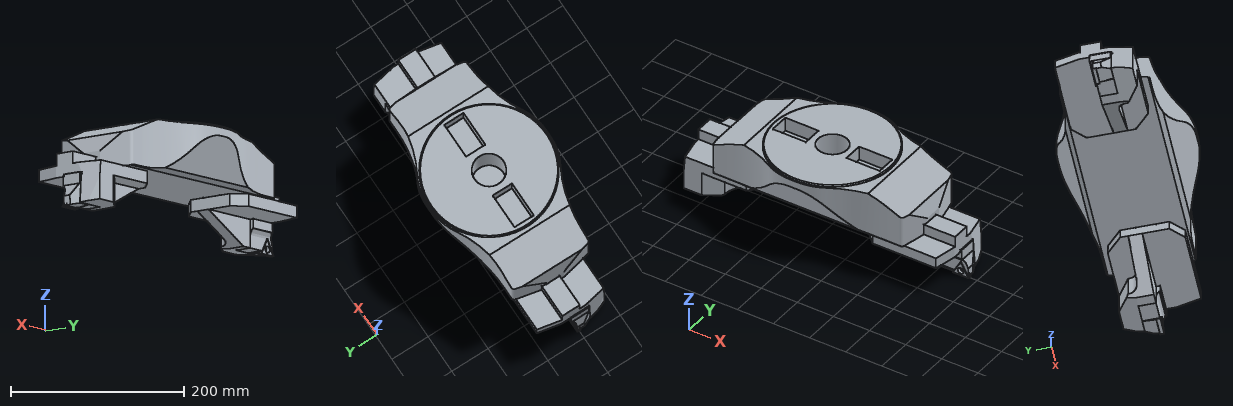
import cadquery as cq
import math

BOSS_TOP = 114.0
BOSS_HEIGHT = 2.0
BOSS_DIAMETER = 162.0
BOSS_CHAMFER = 1.5
HOUSING_TOP = BOSS_TOP - BOSS_HEIGHT
HOUSING_BOTTOM = 51.5

BELLY_HALF_WIDTH = 82.0
BELLY_FLAT_HALF_LENGTH = 5.0
WAIST_X = 40.5
END_HALF_WIDTH = 53.2
END_FLAT_X = 111.5
CORNER_RADIUS = 3.8

NOSE_X = 139.5
NOSE_HALF_WIDTH = 12.5
NOSE_FACET_ANGLE = 12.0
FACET_CORNER_X = NOSE_X - (END_HALF_WIDTH - NOSE_HALF_WIDTH) * math.tan(math.radians(NOSE_FACET_ANGLE))
NOSE_TOP = 72.2
SLOPE_START_X = 86.0
SLOPE_END_X = 133.5
SLOPE_END_Z = 92.0

FLANK_TOP = 102.0
FLANK_ANGLE = 28.0
FLANK_BOTTOM = 56.2
FOOT_HALF_WIDTH = 51.5

BORE_DIAMETER = 40.0
BORE_DEPTH = 45.5
SLOT_INNER_X = 28.0
SLOT_OUTER_X = 74.0
SLOT_WIDTH = 26.5
SLOT_DEPTH = 18.5

PLATE_BOTTOM = 37.2
PLATE_INNER_X = 72.2
SLIDE_END_X = 181.5
PLATE_FRONT_Y = -49.0
SLIDE_BACK_Y = 43.5
FRONT_CORNER_CHAMFER = 15.5
BACK_CORNER_CHAMFER = 18.5
END_FLAT_FRONT_Y = -19.0
END_FLAT_BACK_Y = 14.0
END_SLOPE = 0.2
END_LEAN = 0.09
BACK_CORNER_X = 177.5
BACK_CORNER_SLOPE = 0.4

KEY_TOP = 65.7
KEY_FRONT_Y = -18.0
KEY_BACK_Y = 6.5

WEB_FRONT_Y = -1.5
WEB_BACK_Y = 15.2
WEB_STEP_X = 130.7
WEB_FILLET_RADIUS = 11.0
CHEEK_INNER_X = 152.7
WEB_STEP_Y = 27.7
SLIDE_BOTTOM = 3.5
WEB_TOE_X = 136.0

CARTRIDGE_INNER_X = 148.0
CARTRIDGE_BACK_Y = 19.5
CARTRIDGE_TOP = 40.0
HEAD_FRONT_Y = -6.5
HEAD_END_X = 183.5
HEAD_BOTTOM = 26.2
LEDGE_FRONT_Y = -5.5
NECK_FRONT_Y = -2.3
NECK_TOP = 21.3
SEAT_FRONT_Y = -1.5
SEAT_TOP = 18.5
TIP_END_X = 189.0
TIP_TOP = 13.0
TIP_BACK_Y = 7.5
HEEL_X = 169.5
HEEL_BOTTOM = 1.0
FLANK_RELIEF_SLOPE = 0.45
CARTRIDGE_LEAN = 0.05
BOTTOM_RELIEF_SLOPE = 0.09

INSERT_TIP_X = 190.0
INSERT_SIDE = 22.0
INSERT_FRONT_Y = -2.3
INSERT_BACK_Y = 2.5
INSERT_HOLE_DIAMETER = 8.0

END_ANGLES = (0, 180)
TRIM_SIZE = 380.0


def plan_prism(points, bottom, top):
    """Vertical prism over an XY outline."""
    return cq.Workplane("XY").workplane(offset=bottom).polyline(points).close().extrude(top - bottom)


def side_prism(points, front_y, back_y):
    """Prism along Y over an XZ outline."""
    return (
        cq.Workplane("XZ", origin=(0, front_y, 0)).polyline(points).close().extrude(front_y - back_y)
    )


def end_prism(points, inner_x, outer_x):
    """Prism along X over a YZ outline."""
    return (
        cq.Workplane("YZ", origin=(inner_x, 0, 0)).polyline(points).close().extrude(outer_x - inner_x)
    )


def box_between(x_range, y_range, z_range):
    """Box given by its lower and upper limits along each axis."""
    sizes = [high - low for low, high in (x_range, y_range, z_range)]
    return cq.Workplane("XY", origin=(x_range[0], y_range[0], z_range[0])).box(*sizes, centered=False)


def half_space(point, outward):
    """Large block lying on the outward side of a plane, for trimming a slanted face."""
    plane = cq.Plane(origin=point, normal=outward)
    return cq.Workplane(plane).rect(TRIM_SIZE, TRIM_SIZE).extrude(TRIM_SIZE)


def turned(body, angle):
    """Body turned about the vertical bore axis."""
    return body.rotate((0, 0, 0), (0, 0, 1), angle)


def housing_quarter_plan():
    """One quarter of the outline: wide round belly, hollow shoulder, blunt faceted nose."""
    drop = BELLY_HALF_WIDTH - END_HALF_WIDTH
    length = END_FLAT_X - BELLY_FLAT_HALF_LENGTH
    waist_y = BELLY_HALF_WIDTH - drop * (WAIST_X - BELLY_FLAT_HALF_LENGTH) / length

    plan = cq.Workplane("XY").workplane(offset=HOUSING_BOTTOM)
    plan = plan.moveTo(0, BELLY_HALF_WIDTH)
    plan = plan.lineTo(BELLY_FLAT_HALF_LENGTH, BELLY_HALF_WIDTH)
    plan = plan.tangentArcPoint((WAIST_X, waist_y), relative=False)
    plan = plan.tangentArcPoint((END_FLAT_X, END_HALF_WIDTH), relative=False)
    plan = plan.lineTo(FACET_CORNER_X, END_HALF_WIDTH).lineTo(NOSE_X, NOSE_HALF_WIDTH)
    return plan.lineTo(NOSE_X, 0).lineTo(0, 0).close()


def housing_body():
    """Housing block with sloped ends, bevelled noses and tapered flanks."""
    quarter = housing_quarter_plan().extrude(HOUSING_TOP - HOUSING_BOTTOM)
    half = quarter.union(quarter.mirror("YZ"))
    block = half.union(half.mirror("XZ")).clean()
    middle_z = (HOUSING_TOP + HOUSING_BOTTOM) / 2
    for x in (-FACET_CORNER_X, FACET_CORNER_X):
        for y in (-END_HALF_WIDTH, END_HALF_WIDTH):
            corner_edge = cq.selectors.NearestToPointSelector((x, y, middle_z))
            block = block.edges(corner_edge).fillet(CORNER_RADIUS)

    length_profile = [
        (SLOPE_START_X, HOUSING_TOP),
        (SLOPE_END_X, SLOPE_END_Z),
        (NOSE_X, NOSE_TOP),
        (NOSE_X, HOUSING_BOTTOM),
    ]
    length_profile += [(-x, z) for x, z in reversed(length_profile)]
    block = block.intersect(side_prism(length_profile, -BELLY_HALF_WIDTH, BELLY_HALF_WIDTH))

    flank_bottom_y = BELLY_HALF_WIDTH - (FLANK_TOP - FLANK_BOTTOM) * math.tan(math.radians(FLANK_ANGLE))
    cross_section = [
        (BELLY_HALF_WIDTH, HOUSING_TOP),
        (BELLY_HALF_WIDTH, FLANK_TOP),
        (flank_bottom_y, FLANK_BOTTOM),
        (FOOT_HALF_WIDTH, HOUSING_BOTTOM),
    ]
    cross_section += [(-y, z) for y, z in reversed(cross_section)]
    return block.intersect(end_prism(cross_section, -NOSE_X, NOSE_X))


def make_housing():
    """Housing with its round boss, blind bore, drive slots and a key groove at each end."""
    boss = (
        cq.Workplane("XY")
        .workplane(offset=HOUSING_TOP)
        .circle(BOSS_DIAMETER / 2)
        .extrude(BOSS_HEIGHT)
        .faces(">Z")
        .chamfer(BOSS_CHAMFER)
    )
    housing = housing_body().union(boss)

    bore = (
        cq.Workplane("XY")
        .workplane(offset=BOSS_TOP - BORE_DEPTH)
        .circle(BORE_DIAMETER / 2)
        .extrude(BORE_DEPTH)
    )
    slots = (
        cq.Workplane("XY")
        .workplane(offset=BOSS_TOP - SLOT_DEPTH)
        .pushPoints([(side * (SLOT_INNER_X + SLOT_OUTER_X) / 2, 0) for side in (-1, 1)])
        .rect(SLOT_OUTER_X - SLOT_INNER_X, SLOT_WIDTH)
        .extrude(SLOT_DEPTH)
    )
    housing = housing.cut(bore).cut(slots)
    for angle in END_ANGLES:
        housing = housing.cut(turned(slide_key(), angle))
    return housing


def slide_key():
    """Rib on top of the plate that runs in a groove of the housing."""
    return box_between(
        (PLATE_INNER_X, SLIDE_END_X), (KEY_FRONT_Y, KEY_BACK_Y), (HOUSING_BOTTOM, KEY_TOP)
    )


def slide_plate():
    """Plate under the housing with its two inner corners cut at 45 degrees."""
    outline = [
        (PLATE_INNER_X, PLATE_FRONT_Y + FRONT_CORNER_CHAMFER),
        (PLATE_INNER_X + FRONT_CORNER_CHAMFER, PLATE_FRONT_Y),
        (SLIDE_END_X, PLATE_FRONT_Y),
        (SLIDE_END_X, SLIDE_BACK_Y),
        (PLATE_INNER_X + BACK_CORNER_CHAMFER, SLIDE_BACK_Y),
        (PLATE_INNER_X, SLIDE_BACK_Y - BACK_CORNER_CHAMFER),
    ]
    return plan_prism(outline, PLATE_BOTTOM, HOUSING_BOTTOM)


def slide_web():
    """Hanging web below the plate: thin toward the middle, thick where it carries the cartridge."""
    root_x = WEB_STEP_X - WEB_FILLET_RADIUS
    plan = (
        cq.Workplane("XY")
        .workplane(offset=SLIDE_BOTTOM)
        .moveTo(PLATE_INNER_X, WEB_FRONT_Y)
        .lineTo(INSERT_TIP_X, WEB_FRONT_Y)
        .lineTo(INSERT_TIP_X, SLIDE_BACK_Y)
        .lineTo(CHEEK_INNER_X, SLIDE_BACK_Y)
        .lineTo(WEB_STEP_X, WEB_STEP_Y)
        .lineTo(WEB_STEP_X, WEB_BACK_Y + WEB_FILLET_RADIUS)
        .radiusArc((root_x, WEB_BACK_Y), WEB_FILLET_RADIUS)
        .lineTo(PLATE_INNER_X, WEB_BACK_Y)
        .close()
    )
    web = plan.extrude(PLATE_BOTTOM - SLIDE_BOTTOM)
    side = [
        (PLATE_INNER_X, PLATE_BOTTOM),
        (WEB_TOE_X, SLIDE_BOTTOM),
        (INSERT_TIP_X, SLIDE_BOTTOM),
        (INSERT_TIP_X, PLATE_BOTTOM),
    ]
    return web.intersect(side_prism(side, WEB_FRONT_Y, SLIDE_BACK_Y))


def trim_outer_end(slide):
    """Set the outer end face back on both sides of its flat middle."""
    front_end = half_space(
        (SLIDE_END_X, END_FLAT_FRONT_Y, HOUSING_BOTTOM), (1, -END_SLOPE, 0)
    )
    back_end = half_space(
        (SLIDE_END_X, END_FLAT_BACK_Y, HOUSING_BOTTOM), (1, END_SLOPE, END_LEAN)
    )
    back_corner = half_space(
        (BACK_CORNER_X, SLIDE_BACK_Y, SLIDE_BOTTOM), (1, BACK_CORNER_SLOPE, 0)
    )
    return slide.cut(front_end).cut(back_end).cut(back_corner)


def make_slide():
    """Key, plate and web as one body, with a pocket for the cartridge."""
    slide = slide_plate().union(slide_web()).union(slide_key())
    slide = trim_outer_end(slide)
    bottom_relief = half_space(
        (WEB_TOE_X, CARTRIDGE_BACK_Y, SLIDE_BOTTOM), (0, BOTTOM_RELIEF_SLOPE, -1)
    )
    pocket = box_between(
        (CARTRIDGE_INNER_X, INSERT_TIP_X), (HEAD_FRONT_Y, CARTRIDGE_BACK_Y), (0, CARTRIDGE_TOP)
    )
    return slide.cut(bottom_relief).cut(pocket)


def make_cartridge():
    """Insert holder with an overhanging head, a slanted outer end and a relieved heel."""
    section = [
        (HEAD_FRONT_Y, CARTRIDGE_TOP),
        (CARTRIDGE_BACK_Y, CARTRIDGE_TOP),
        (CARTRIDGE_BACK_Y, HEEL_BOTTOM),
        (SEAT_FRONT_Y, HEEL_BOTTOM),
        (SEAT_FRONT_Y, SEAT_TOP),
        (NECK_FRONT_Y, NECK_TOP),
        (LEDGE_FRONT_Y, HEAD_BOTTOM),
        (HEAD_FRONT_Y, HEAD_BOTTOM),
    ]
    profile = [
        (CARTRIDGE_INNER_X, CARTRIDGE_TOP),
        (HEAD_END_X - CARTRIDGE_LEAN * (CARTRIDGE_TOP - HEAD_BOTTOM), CARTRIDGE_TOP),
        (HEAD_END_X, HEAD_BOTTOM),
        (TIP_END_X, TIP_TOP),
        (TIP_END_X, HEEL_BOTTOM),
        (HEEL_X, HEEL_BOTTOM),
        (HEEL_X, SLIDE_BOTTOM),
        (CARTRIDGE_INNER_X, SLIDE_BOTTOM),
    ]
    cartridge = end_prism(section, CARTRIDGE_INNER_X, TIP_END_X)
    cartridge = cartridge.intersect(side_prism(profile, HEAD_FRONT_Y, CARTRIDGE_BACK_Y))

    flank = half_space((TIP_END_X, TIP_BACK_Y, TIP_TOP), (1, FLANK_RELIEF_SLOPE, CARTRIDGE_LEAN))
    heel = half_space((TIP_END_X, INSERT_BACK_Y, HEEL_BOTTOM), (0, BOTTOM_RELIEF_SLOPE, -1))
    return cartridge.cut(flank).cut(heel).cut(insert_blank())


def insert_blank():
    """Equilateral triangle standing on the cutting edge, one corner at the outermost tip."""
    apex_height = INSERT_SIDE * math.sin(math.radians(60))
    triangle = [
        (INSERT_TIP_X, 0),
        (INSERT_TIP_X - INSERT_SIDE, 0),
        (INSERT_TIP_X - INSERT_SIDE / 2, apex_height),
    ]
    return side_prism(triangle, INSERT_FRONT_Y, INSERT_BACK_Y)


def make_insert():
    """Triangular insert with a hole at its centre."""
    centre_x = INSERT_TIP_X - INSERT_SIDE / 2
    centre_z = INSERT_SIDE / 2 * math.tan(math.radians(30))
    hole = (
        cq.Workplane("XZ", origin=(centre_x, INSERT_FRONT_Y, centre_z))
        .circle(INSERT_HOLE_DIAMETER / 2)
        .extrude(INSERT_FRONT_Y - INSERT_BACK_Y)
    )
    return insert_blank().cut(hole)


housing = make_housing()
end_bodies = [
    turned(make_body(), angle).val()
    for angle in END_ANGLES
    for make_body in (make_slide, make_cartridge, make_insert)
]

result = cq.Compound.makeCompound([housing.val(), *end_bodies])